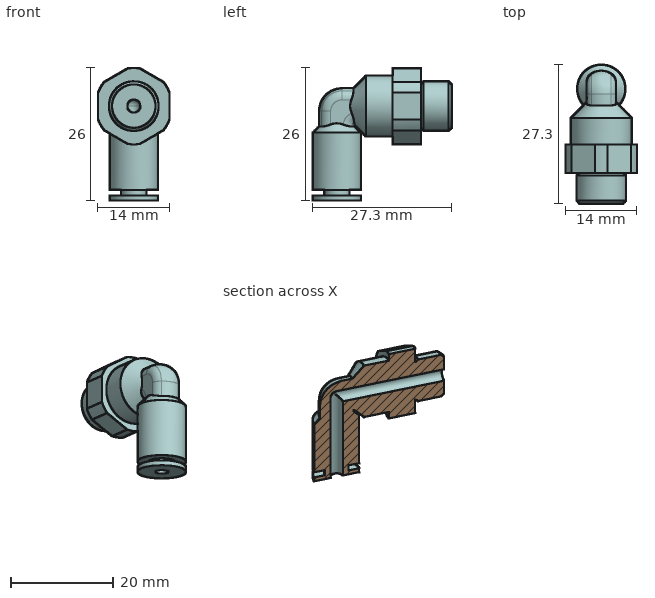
import cadquery as cq
import math


overall_length = 27.25
sleeve_diameter = 9.48

thread_face_y = sleeve_diameter / 2 - overall_length
thread_diameter = 9.73
thread_chamfer_length = 0.65
thread_face_diameter = 8.5
relief_length = 0.5
hex_front_y = -16.49
hex_back_y = -10.9
hex_across_flats = 14.0
hex_corner_diameter = 15.0
body_diameter = 12.0
body_end_y = -5.7

sleeve_top_z = -5.2
sleeve_bottom_z = -16.4
collar_top_z = -17.47
collar_bottom_z = -18.48
neck_diameter = 5.01

elbow_radius = 3.55
elbow_half_width = 2.9
elbow_blend = 2.1
outer_bend_offset = 1.0
inner_bend_radius = 0.38
cone_tip_radius = 2.45

bore_diameter = 2.53

blend_x = elbow_half_width - elbow_blend
blend_z = math.sqrt((elbow_radius - elbow_blend) ** 2 - blend_x ** 2)
blend_angle = math.atan2(blend_z, blend_x)
tangent_x = elbow_radius * math.cos(blend_angle)
tangent_z = elbow_radius * math.sin(blend_angle)
blend_mid_x = blend_x + elbow_blend * math.cos(blend_angle / 2)
blend_mid_z = blend_z + elbow_blend * math.sin(blend_angle / 2)


def turned(plane, profile):
    """Revolve (radius, position) points about the second axis of the plane."""
    points = [(0, profile[0][1])] + profile + [(0, profile[-1][1])]
    return cq.Workplane(plane).polyline(points).close().revolve(360, (0, 0, 0), (0, 1, 0))


def inlet():
    thread_radius = thread_diameter / 2
    body_radius = body_diameter / 2
    cone_length = body_radius - cone_tip_radius
    turned_parts = turned("XY", [
        (thread_face_diameter / 2, thread_face_y),
        (thread_radius, thread_face_y + thread_chamfer_length),
        (thread_radius, hex_front_y - relief_length),
        (thread_radius - relief_length, hex_front_y),
        (body_radius, hex_front_y),
        (body_radius, body_end_y),
        (cone_tip_radius, body_end_y + cone_length),
    ])
    hex_length = hex_back_y - hex_front_y
    corner_to_corner = hex_across_flats / math.cos(math.pi / 6)
    hex_start = cq.Workplane("XZ", origin=(0, hex_back_y, 0))
    hexagon = hex_start.transformed(rotate=(0, 0, 90)).polygon(6, corner_to_corner).extrude(hex_length)
    corner_round = hex_start.circle(hex_corner_diameter / 2).extrude(hex_length)
    return turned_parts.union(hexagon.intersect(corner_round))


def outlet():
    sleeve_radius = sleeve_diameter / 2
    neck_radius = neck_diameter / 2
    cone_tip_z = sleeve_top_z + sleeve_radius - cone_tip_radius
    return turned("XZ", [
        (sleeve_radius, collar_bottom_z),
        (sleeve_radius, collar_top_z),
        (neck_radius, collar_top_z),
        (neck_radius, sleeve_bottom_z),
        (sleeve_radius, sleeve_bottom_z),
        (sleeve_radius, sleeve_top_z),
        (cone_tip_radius, cone_tip_z),
    ])


def elbow_cap(plane, lower_edge, side=1):
    """Sketch the rounded end of the elbow section, closed by a straight line at lower_edge.

    With side = -1 the sketch is turned upside down.
    """
    return (
        cq.Workplane(plane)
        .moveTo(-elbow_half_width, side * lower_edge)
        .lineTo(-elbow_half_width, side * blend_z)
        .threePointArc((-blend_mid_x, side * blend_mid_z), (-tangent_x, side * tangent_z))
        .threePointArc((0, side * elbow_radius), (tangent_x, side * tangent_z))
        .threePointArc((blend_mid_x, side * blend_mid_z), (elbow_half_width, side * blend_z))
        .lineTo(elbow_half_width, side * lower_edge)
        .close()
    )


def elbow_leg(plane, start, end):
    """Straight leg with the whole section, between two distances along the plane normal."""
    length = end - start
    halves = [elbow_cap(plane, 0, side).extrude(length) for side in (1, -1)]
    return halves[0].union(halves[1]).translate(plane.zDir * start)


def elbow():
    along_inlet = cq.Plane(origin=(0, 0, 0), xDir=(1, 0, 0), normal=(0, -1, 0))
    along_outlet = cq.Plane(origin=(0, 0, 0), xDir=(1, 0, 0), normal=(0, 0, -1))
    inner_centre = elbow_radius + inner_bend_radius
    inlet_leg = elbow_leg(along_inlet, outer_bend_offset, -body_end_y)
    outlet_leg = elbow_leg(along_outlet, outer_bend_offset, -sleeve_top_z)

    outer_bend = (
        elbow_cap(along_inlet, -outer_bend_offset)
        .revolve(90, (0.27, -outer_bend_offset, 0), (-0.27, -outer_bend_offset, 0))
        .translate((0, -outer_bend_offset, 0))
    )
    inner_bend = (
        elbow_cap(along_inlet, 0, -1)
        .revolve(90, (0.27, -inner_centre, 0), (-0.27, -inner_centre, 0))
        .translate((0, -inner_centre, 0))
    )
    return inlet_leg.union(outlet_leg).union(outer_bend).union(inner_bend)


def bore():
    """Bore from the thread face to the collar face, with a ball-shaped corner."""
    radius = bore_diameter / 2
    inlet_bore = cq.Workplane("XZ").circle(radius).extrude(-thread_face_y)
    outlet_bore = cq.Workplane("XY").circle(radius).extrude(collar_bottom_z)
    return inlet_bore.union(outlet_bore).union(cq.Workplane("XY").sphere(radius))


result = inlet().union(elbow()).union(outlet()).cut(bore())